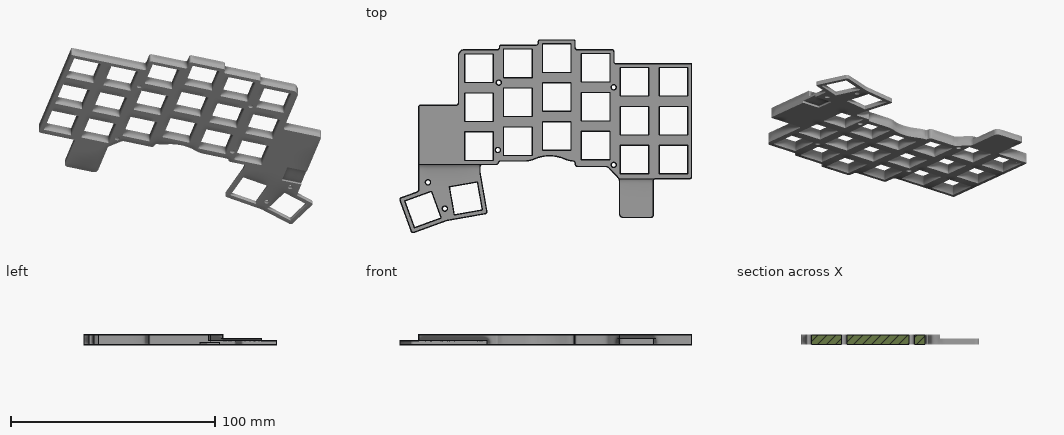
import cadquery as cq
import math


plate_height = 5.0
tab_height = 3.0
thumb_height = 2.0

key_opening = 13.9
three_key_span = 57.1
key_pitch = three_key_span / 3
key_rows = 3
first_column_x = 38.7
top_row_y = [80.5, 82.9, 85.5, 80.7, 73.9, 73.9]

block_left = 9.1
block_top = 62.5
block_bottom = 33.3
grid_left = 28.6
column_steps_x = [48.7, 67.7, 85.9, 104.9]
column_tops = [89.6, 91.9, 94.5, 89.6, 82.7]
corner_cut_width = 1.6
corner_cut_height = 2.3
plate_right = 142.9
plate_bottom = 26.3
bay_edge_y = 35.0
inner_bottom_y = 32.3
left_step_start_x = 47.9
left_step_end_x = 48.6
right_step_x = 85.9
diagonal_start_x = 101.7
corner_radius = 1.0
step_radius = 1.3
large_radius = 2.1

bay_centre_x = 73.3
bay_half_width = 12.0
bay_arc_half_width = 7.7
bay_rise = 2.6
bay_side_clearance = 1.5

tab_left = 107.5
tab_right = 124.2
tab_bottom = 7.3
tab_right_radius = 1.5

thumb_right = 39.3
thumb_rim = 2.1
thumb_corner_radius = 1.1
inner_thumb_key = (32.3, 16.7)
inner_thumb_angle = 10
outer_thumb_key = (11.3, 11.3)
outer_thumb_angle = 20
thumb_overlap = 1.5

screw_diameter = 2.5
screw_positions = [(48.5, 73.5), (48.0, 40.5), (104.7, 71.1), (104.7, 33.1), (13.7, 24.6), (22.0, 11.7)]

notch_width = 9.6
notch_centre_y = 32.9
notch_height = 1.0
notch_depth = 10.0


def rounded_prism(corners, height):
    """Extrude an outline of (x, y, radius) corners, rounding those with a radius."""
    points = [(x, y) for x, y, _ in corners]
    solid = cq.Workplane("XY").polyline(points).close().extrude(height)
    for x, y, radius in corners:
        if radius > 0:
            corner_edge = cq.selectors.NearestToPointSelector((x, y, height / 2))
            solid = solid.edges("|Z").edges(corner_edge).fillet(radius)
    return solid


def turned(centre, angle, along, across):
    """Point at a local offset in a frame turned by an angle about a key centre."""
    cosine = math.cos(math.radians(angle))
    sine = math.sin(math.radians(angle))
    return (centre[0] + along * cosine - across * sine, centre[1] + along * sine + across * cosine)


def crossing(first, first_angle, second, second_angle):
    """Point where two lines, each given by a point and a direction, meet."""
    a = math.radians(first_angle)
    b = math.radians(second_angle)
    dx = second[0] - first[0]
    dy = second[1] - first[1]
    distance = (dx * math.sin(b) - dy * math.cos(b)) / math.sin(b - a)
    return (first[0] + distance * math.cos(a), first[1] + distance * math.sin(a))


def main_plate():
    corners = [
        (block_left, block_bottom, 0),
        (left_step_start_x, block_bottom, step_radius),
        (left_step_end_x, bay_edge_y, step_radius),
        (right_step_x, bay_edge_y, step_radius),
        (right_step_x, inner_bottom_y, step_radius),
        (diagonal_start_x, inner_bottom_y, large_radius),
        (tab_left, plate_bottom, 0),
        (plate_right, plate_bottom, corner_radius),
        (plate_right, column_tops[-1], 0),
    ]
    for i in reversed(range(len(column_steps_x))):
        corners.append((column_steps_x[i], column_tops[i + 1], corner_radius))
        corners.append((column_steps_x[i], column_tops[i], corner_radius))
    corners += [
        (grid_left + corner_cut_width, column_tops[0], large_radius),
        (grid_left, column_tops[0] - corner_cut_height, 0),
        (grid_left, block_top, corner_radius),
        (block_left, block_top, corner_radius),
    ]
    return rounded_prism(corners, plate_height)


def bay_cutter():
    blend_width = bay_half_width - bay_arc_half_width
    blend_rise = bay_rise * blend_width / bay_half_width
    left_end = bay_centre_x - bay_half_width
    right_end = bay_centre_x + bay_half_width
    far_left = left_end - bay_side_clearance
    return (
        cq.Workplane("XY")
        .moveTo(far_left, bay_edge_y)
        .lineTo(left_end, bay_edge_y)
        .tangentArcPoint((blend_width, blend_rise))
        .tangentArcPoint((2 * bay_arc_half_width, 0))
        .tangentArcPoint((blend_width, -blend_rise))
        .lineTo(right_end, bay_edge_y - bay_rise)
        .lineTo(far_left, bay_edge_y - bay_rise)
        .close()
        .extrude(plate_height)
    )


def tab():
    overlap_right = tab_right + 2 * corner_radius
    corners = [
        (diagonal_start_x, inner_bottom_y, 0),
        (tab_left, plate_bottom, large_radius),
        (tab_left, tab_bottom, large_radius),
        (tab_right, tab_bottom, tab_right_radius),
        (tab_right, plate_bottom, corner_radius),
        (overlap_right, plate_bottom, 0),
        (overlap_right, inner_bottom_y, 0),
    ]
    return rounded_prism(corners, tab_height)


def thumb_plate():
    half = key_opening / 2 + thumb_rim
    inner_corner = turned(inner_thumb_key, inner_thumb_angle, half, -half)
    outer_top = turned(outer_thumb_key, outer_thumb_angle, -half, half)
    outer_bottom = turned(outer_thumb_key, outer_thumb_angle, -half, -half)
    bottom_bend = crossing(outer_bottom, outer_thumb_angle, inner_corner, inner_thumb_angle)
    right_bend = crossing((thumb_right, 0), 90, inner_corner, 90 + inner_thumb_angle)
    left_bend = crossing((block_left, 0), 90, outer_top, outer_thumb_angle)
    overlap_right = thumb_right + 2 * corner_radius
    overlap_top = block_bottom + thumb_overlap
    corners = [
        (block_left, overlap_top, 0),
        (*left_bend, corner_radius),
        (*outer_top, thumb_corner_radius),
        (*outer_bottom, thumb_corner_radius),
        (*bottom_bend, large_radius),
        (*inner_corner, thumb_corner_radius),
        (*right_bend, 0),
        (thumb_right, block_bottom, corner_radius),
        (overlap_right, block_bottom, 0),
        (overlap_right, overlap_top, 0),
    ]
    return rounded_prism(corners, thumb_height)


def key_cutter(x, y, angle=0):
    cutter = cq.Workplane("XY").rect(key_opening, key_opening).extrude(plate_height)
    return cutter.rotate((0, 0, 0), (0, 0, 1), angle).translate((x, y, 0))


body = main_plate().cut(bay_cutter()).union(tab()).union(thumb_plate())

for column, top_y in enumerate(top_row_y):
    for row in range(key_rows):
        key_x = first_column_x + column * key_pitch
        key_y = top_y - row * key_pitch
        body = body.cut(key_cutter(key_x, key_y))
body = body.cut(key_cutter(*inner_thumb_key, inner_thumb_angle))
body = body.cut(key_cutter(*outer_thumb_key, outer_thumb_angle))

screws = cq.Workplane("XY").pushPoints(screw_positions).circle(screw_diameter / 2).extrude(plate_height)
body = body.cut(screws)

notch = cq.Workplane("XY").box(notch_depth, notch_width, notch_height, centered=(False, True, False))
result = body.cut(notch.translate((block_left, notch_centre_y, 0)))